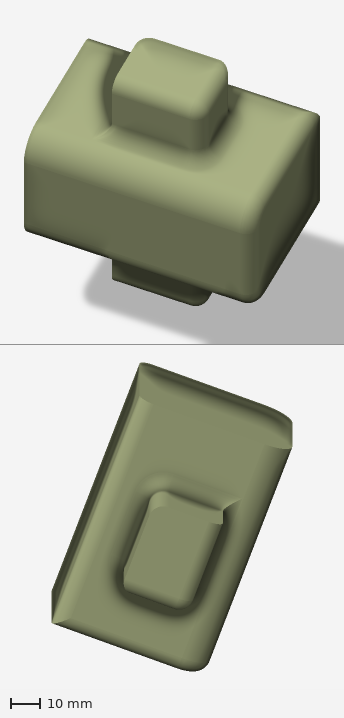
import cadquery as cq

length = 85.6
depth = 55.6
total_height = 101.6
body_height = 50.8

boss_left = 25.8
boss_front = 15.6
boss_length = 34.0
boss_depth = 24.9

large_radius = 10.2
small_radius = 5.1

half_body = body_height / 2
tolerance = 0.01


def make_body():
    """Block with a rounded +X end, trimmed by a profile that rounds the +Y edges."""
    block = cq.Workplane("XY").box(length, depth, body_height, centered=(False, False, True))
    block = block.edges("|X and <Y").fillet(large_radius)
    block = block.faces(">X").edges("not >Y").fillet(small_radius)
    rear_profile = (
        cq.Workplane("XY")
        .box(length, depth, body_height, centered=(False, False, True))
        .edges("|X and >Y")
        .fillet(small_radius)
    )
    return block.intersect(rear_profile)


def footprint():
    """Boss column through the body, its +Y corners still square."""
    return (
        cq.Workplane("XY")
        .box(boss_length, boss_depth, total_height, centered=(False, False, True))
        .translate((boss_left, boss_front, 0))
    )


def make_bosses():
    """Column forming both bosses, sharp only along its -X, -Y corner."""
    column = footprint().edges("(|X and <Y) or (|Y and >X) or (|Z and <Y and >X)").fillet(small_radius)
    rear_profile = footprint().edges("|Z and >Y").fillet(small_radius)
    return column.intersect(rear_profile)


def at_boss_root(edge):
    """True for an edge where a boss meets the top or bottom of the body."""
    box = edge.BoundingBox()
    flat = box.zlen < tolerance and abs(abs(edge.Center().z) - half_body) < tolerance
    inside_x = box.xmin > boss_left - tolerance and box.xmax < boss_left + boss_length + tolerance
    inside_y = box.ymin > boss_front - tolerance and box.ymax < boss_front + boss_depth + tolerance
    return flat and inside_x and inside_y


part = make_body().union(make_bosses())
root_edges = [edge for edge in part.edges().vals() if at_boss_root(edge)]
result = part.newObject(root_edges).fillet(small_radius)